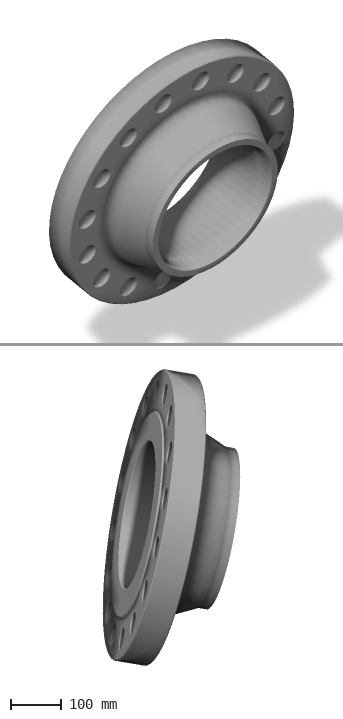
import cadquery as cq
import math

total_length = 170.0
flange_diameter = 585.0
bore_diameter = 295.5
neck_diameter = 323.9

face_height = 4.0
face_diameter = 410.0

flange_thickness = 64.0
rim_chamfer = 2.0

hub_root_diameter = 400.0
neck_length = 18.0
root_fillet = 12.0
neck_fillet = 12.0

bolt_count = 16
bolt_diameter = 42.0
bolt_circle_diameter = 500.0

bore_chamfer = 2.0
hole_chamfer = 1.5

flange_back = face_height + flange_thickness
hub_end = total_length - neck_length


def fillet_corner(previous, corner, following, radius):
    """Return the start, middle and end of the arc that rounds an outline corner."""
    to_previous = unit_vector(corner, previous)
    to_following = unit_vector(corner, following)
    bisector = unit_vector(
        (0, 0),
        (to_previous[0] + to_following[0], to_previous[1] + to_following[1]),
    )
    half_angle = math.acos(to_previous[0] * bisector[0] + to_previous[1] * bisector[1])
    tangent_length = radius / math.tan(half_angle)
    middle_distance = radius / math.sin(half_angle) - radius
    return (
        offset_point(corner, to_previous, tangent_length),
        offset_point(corner, bisector, middle_distance),
        offset_point(corner, to_following, tangent_length),
    )


def unit_vector(start, end):
    length = math.hypot(end[0] - start[0], end[1] - start[1])
    return ((end[0] - start[0]) / length, (end[1] - start[1]) / length)


def offset_point(origin, direction, distance):
    return (origin[0] + direction[0] * distance, origin[1] + direction[1] * distance)


def make_body():
    """Revolve the half section, drawn as (axial, radial) points, about the X axis."""
    bore_radius = bore_diameter / 2
    face_radius = face_diameter / 2
    flange_radius = flange_diameter / 2
    neck_radius = neck_diameter / 2

    rim_back = (flange_back, flange_radius - rim_chamfer)
    hub_root = (flange_back, hub_root_diameter / 2)
    neck_start = (hub_end, neck_radius)
    neck_end = (total_length, neck_radius)

    root_start, root_middle, root_end = fillet_corner(rim_back, hub_root, neck_start, root_fillet)
    blend_start, blend_middle, blend_end = fillet_corner(hub_root, neck_start, neck_end, neck_fillet)

    section = (
        cq.Workplane("XZ")
        .moveTo(bore_chamfer, bore_radius)
        .lineTo(0, bore_radius + bore_chamfer)
        .lineTo(0, face_radius)
        .lineTo(face_height, face_radius + face_height)
        .lineTo(face_height, flange_radius - rim_chamfer)
        .lineTo(face_height + rim_chamfer, flange_radius)
        .lineTo(flange_back - rim_chamfer, flange_radius)
        .lineTo(*rim_back)
        .lineTo(*root_start)
        .threePointArc(root_middle, root_end)
        .lineTo(*blend_start)
        .threePointArc(blend_middle, blend_end)
        .lineTo(*neck_end)
        .lineTo(total_length, bore_radius)
        .close()
    )
    return section.revolve(360, (0, 0, 0), (1, 0, 0))


def make_bolt_hole_cutter():
    """Revolve one chamfered bolt hole, spanning the flange thickness, about the X axis."""
    hole_radius = bolt_diameter / 2
    mouth_radius = hole_radius + hole_chamfer
    return (
        cq.Workplane("XZ")
        .moveTo(face_height, 0)
        .lineTo(face_height, mouth_radius)
        .lineTo(face_height + hole_chamfer, hole_radius)
        .lineTo(flange_back - hole_chamfer, hole_radius)
        .lineTo(flange_back, mouth_radius)
        .lineTo(flange_back, 0)
        .close()
        .revolve(360, (0, 0, 0), (1, 0, 0))
    )


def cut_bolt_holes(body):
    """Cut the bolt holes, the first one half a pitch off the Y axis."""
    pitch = 360 / bolt_count
    cutter = make_bolt_hole_cutter().translate((0, bolt_circle_diameter / 2, 0))
    for index in range(bolt_count):
        angle = (index + 0.5) * pitch
        body = body.cut(cutter.rotate((0, 0, 0), (1, 0, 0), angle))
    return body


result = cut_bolt_holes(make_body())